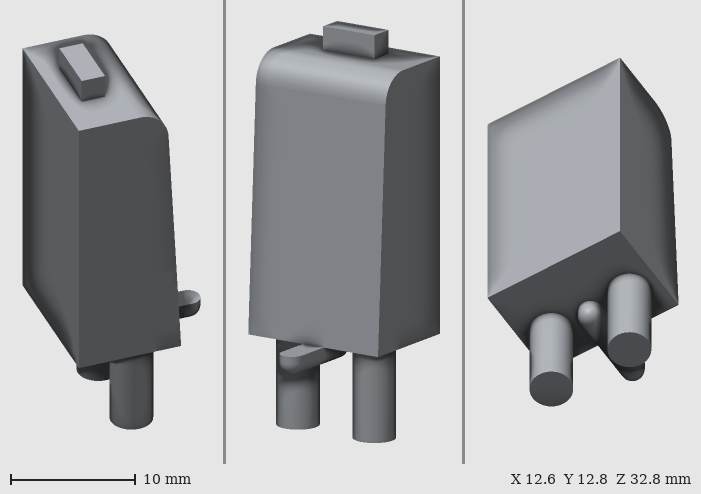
import cadquery as cq
import math

overall_height = 32.8
overall_depth = 12.8

body_width = 12.6
body_depth = 8.8
body_height = 23.03
back_lean = 3.0
back_edge_radius = 2.5

tab_width = 5.0
tab_depth = 2.0
tab_height = 2.0
tab_front = 1.7

pin_diameter = 3.5
pin_length = overall_height - body_height - tab_height
pin_spacing = 7.4
pin_y = 5.5

bar_width = 2.0
bar_straight_height = 0.7
bar_radius = bar_width / 2
bar_start_y = pin_y
bar_end_y = overall_depth - bar_radius


def make_body():
    top_depth = body_depth - body_height * math.tan(math.radians(back_lean))
    outline = [(0, 0), (body_depth, 0), (top_depth, body_height), (0, body_height)]
    block = cq.Workplane("YZ").polyline(outline).close().extrude(body_width / 2, both=True)
    return block.faces(">Z").edges(">Y").fillet(back_edge_radius)


def make_tab():
    tab = cq.Workplane("XY").box(tab_width, tab_depth, tab_height, centered=(True, False, False))
    return tab.translate((0, tab_front, body_height))


def make_pins():
    centres = [(-pin_spacing / 2, pin_y), (pin_spacing / 2, pin_y)]
    return cq.Workplane("XY").pushPoints(centres).circle(pin_diameter / 2).extrude(-pin_length)


def make_bar():
    bar = (
        cq.Workplane("XZ", origin=(0, bar_start_y, 0))
        .moveTo(-bar_radius, 0)
        .lineTo(-bar_radius, -bar_straight_height)
        .threePointArc((0, -bar_straight_height - bar_radius), (bar_radius, -bar_straight_height))
        .lineTo(bar_radius, 0)
        .close()
        .extrude(bar_start_y - bar_end_y)
    )
    for end_y in (bar_start_y, bar_end_y):
        post = cq.Workplane("XY").center(0, end_y).circle(bar_radius).extrude(-bar_straight_height)
        dome = cq.Workplane("XY").sphere(bar_radius).translate((0, end_y, -bar_straight_height))
        lower_half = (
            cq.Workplane("XY")
            .center(0, end_y)
            .rect(bar_width, bar_width)
            .extrude(-bar_straight_height - bar_radius)
        )
        bar = bar.union(post).union(dome.intersect(lower_half))
    return bar


result = make_body().union(make_tab()).union(make_pins()).union(make_bar())